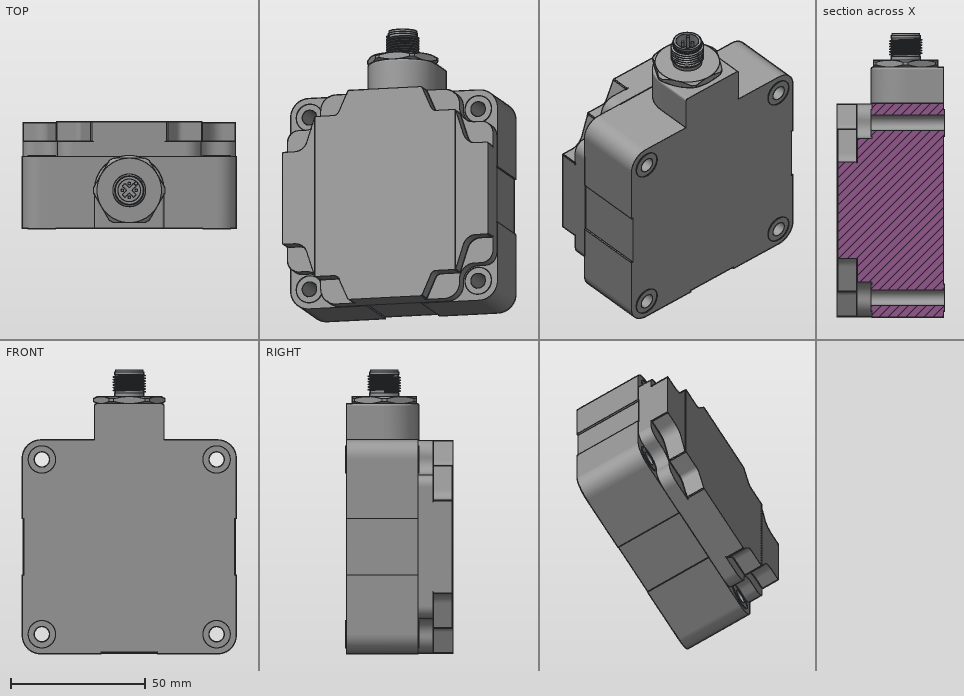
import cadquery as cq
import math

body_size = 79.7
body_depth = 26.7
body_corner_radius = 7.0
half_body = body_size / 2
total_depth = 40.0
side_recess_width = 21.0
side_recess_depth = 0.7

hole_offset = 32.5
hole_diameter = 5.6
bushing_diameter = 10.2
bushing_protrusion = 0.33

rear_half_size = 39.6

spacer_depth = 5.5
scallop_radius = 5.75
spacer_top_round = 5.8
spacer_side_round = 4.4

label_depth = 0.33
cover_depth = total_depth - body_depth - spacer_depth - bushing_protrusion - label_depth
cover_top_half_width = 14.2
cover_step_x = 27.1
cover_step_z = 30.3
cover_side_z = 17.4
upper_wall_angle = 66.0
lower_wall_angle = 72.0
upper_step_radius = 2.3
lower_step_radius = 5.1
cover_edge_chamfer = 0.3

neck_radius = 13.0
neck_axis_y = 14.1
neck_top_z = 53.3
neck_edge_radius = 1.0

nut_across_flats = 24.0
nut_corner_radius = 13.35
nut_height = 2.6
nut_chamfer_height = 0.8

connector_top_z = 65.85
collar_radius = 5.45
thread_core_radius = 5.25
thread_tip_radius = 6.1
thread_pitch = 1.0
lower_collar_top_z = 57.3
upper_collar_base_z = 64.2
thread_end_clearance = 0.4
thread_root_width = 0.8
thread_overlap = 0.15
tip_radius = 5.2
tip_height = 0.9
socket_radius = 4.2
socket_depth = 6.0
pin_count = 4
pin_circle_radius = 2.55
pin_diameter = 1.0
pin_tip_depth = 1.9
key_angle = 45.0
key_diameter = 1.2
key_center_radius = 3.55
key_tip_depth = 0.7
floor_cross_angles = (45, 135)
floor_cross_length = 5.9
floor_cross_width = 1.4
floor_cross_depth = 0.5

nut_base_z = neck_top_z
connector_base_z = nut_base_z + nut_height
socket_floor_z = connector_top_z - socket_depth
thread_start_z = lower_collar_top_z + thread_end_clearance
thread_height = upper_collar_base_z - thread_end_clearance - thread_start_z
spacer_back_y = body_depth + spacer_depth
cover_back_y = spacer_back_y + cover_depth


def plane_at_y(y):
    """Sketch plane at depth y: local X is +X, local Y is +Z; a negative extrusion goes toward +Y."""
    return cq.Workplane(cq.Plane(origin=(0, y, 0), xDir=(1, 0, 0), normal=(0, -1, 0)))


def plane_at_z(z):
    """Sketch plane at height z, centred on the connector axis."""
    return cq.Workplane("XY", origin=(0, neck_axis_y, z))


def four_way(quarter):
    """Join a quarter solid with its mirror images across the YZ and XY planes."""
    half = quarter.union(quarter.mirror("YZ"))
    return half.union(half.mirror("XY"))


def make_housing():
    housing = plane_at_y(0).rect(body_size, body_size).extrude(-body_depth)
    housing = housing.edges("|Y").fillet(body_corner_radius)
    recess_centers = [(-half_body, 0), (half_body, 0)]
    side_recesses = (
        plane_at_y(0)
        .pushPoints(recess_centers)
        .rect(2 * side_recess_depth, side_recess_width)
        .extrude(-body_depth)
    )
    bottom_recess = (
        plane_at_y(0)
        .center(0, -half_body)
        .rect(side_recess_width, 2 * side_recess_depth)
        .extrude(-body_depth)
    )
    return housing.cut(side_recesses).cut(bottom_recess)


def make_spacer():
    inner = hole_offset - scallop_radius
    diagonal = scallop_radius * math.sqrt(0.5)
    top_round_mid = spacer_top_round * (1 - math.sqrt(0.5))
    side_round_mid = spacer_side_round * (1 - math.sqrt(0.5))
    quarter = (
        plane_at_y(body_depth)
        .lineTo(0, rear_half_size)
        .lineTo(inner - spacer_top_round, rear_half_size)
        .threePointArc(
            (inner - top_round_mid, rear_half_size - top_round_mid),
            (inner, rear_half_size - spacer_top_round),
        )
        .lineTo(inner, hole_offset)
        .threePointArc((hole_offset - diagonal, hole_offset - diagonal), (hole_offset, inner))
        .lineTo(rear_half_size - spacer_side_round, inner)
        .threePointArc(
            (rear_half_size - side_round_mid, inner - side_round_mid),
            (rear_half_size, inner - spacer_side_round),
        )
        .lineTo(rear_half_size, 0)
        .close()
        .extrude(-spacer_depth)
    )
    return four_way(quarter)


def cover_outline(y):
    """Sharp stepped outline of the cover, with the X of its two inner step corners."""
    upper_slope = math.tan(math.radians(upper_wall_angle))
    lower_slope = math.tan(math.radians(lower_wall_angle))
    upper_foot_x = cover_top_half_width + (rear_half_size - cover_step_z) / upper_slope
    lower_foot_x = cover_step_x + (cover_step_z - cover_side_z) / lower_slope
    corner = [
        (cover_top_half_width, rear_half_size),
        (upper_foot_x, cover_step_z),
        (cover_step_x, cover_step_z),
        (lower_foot_x, cover_side_z),
        (rear_half_size, cover_side_z),
    ]
    bottom_right = [(x, -z) for x, z in reversed(corner)]
    bottom_left = [(-x, -z) for x, z in corner]
    top_left = [(-x, z) for x, z in reversed(corner)]
    points = corner + bottom_right + bottom_left + top_left
    outline = plane_at_y(y).polyline(points).close()
    return outline, upper_foot_x, lower_foot_x


def edges_at(x, z):
    """Selector for the four depth-wise edges at (+-x, +-z)."""
    reach = 0.1
    boxes = [
        cq.selectors.BoxSelector(
            (sx * x - reach, 0, sz * z - reach),
            (sx * x + reach, 2 * cover_back_y, sz * z + reach),
        )
        for sx in (-1, 1)
        for sz in (-1, 1)
    ]
    return boxes[0] + boxes[1] + boxes[2] + boxes[3]


def is_step_edge(edge):
    """True for the edges that stand back from the outermost sides of the cover."""
    middle = edge.Center()
    clearance = cover_edge_chamfer / 4
    inside_width = abs(middle.x) < rear_half_size - clearance
    inside_height = abs(middle.z) < rear_half_size - clearance
    return inside_width and inside_height


def make_cover():
    outline, upper_foot_x, lower_foot_x = cover_outline(spacer_back_y)
    cover = outline.extrude(-cover_depth - label_depth)
    convex_corners = [
        (cover_top_half_width, rear_half_size),
        (cover_step_x, cover_step_z),
        (rear_half_size, cover_side_z),
    ]
    for x, z in convex_corners:
        cover = cover.edges("|Y").edges(edges_at(x, z)).chamfer(cover_edge_chamfer)
    cover = cover.edges("|Y").edges(edges_at(upper_foot_x, cover_step_z)).fillet(upper_step_radius)
    cover = cover.edges("|Y").edges(edges_at(lower_foot_x, cover_side_z)).fillet(lower_step_radius)
    cover = cover.faces("<Y").edges().filter(is_step_edge).chamfer(cover_edge_chamfer)
    side_strips = (
        plane_at_y(cover_back_y)
        .pushPoints([(-2 * cover_step_x, 0), (2 * cover_step_x, 0)])
        .rect(2 * cover_step_x, body_size)
        .extrude(-label_depth)
    )
    return cover.cut(side_strips)


def make_neck():
    neck = (
        cq.Workplane("XY")
        .moveTo(-neck_radius, 0)
        .lineTo(neck_radius, 0)
        .lineTo(neck_radius, neck_axis_y)
        .threePointArc((0, neck_axis_y + neck_radius), (-neck_radius, neck_axis_y))
        .close()
        .extrude(neck_top_z)
    )
    neck = neck.faces(">Z").edges("not(<Y)").fillet(neck_edge_radius)
    above_body = cq.Workplane("XY").box(
        body_size, body_size, neck_top_z, centered=(True, True, False)
    )
    return neck.intersect(above_body.translate((0, 0, half_body - body_corner_radius)))


def make_nut():
    hexagon_diameter = nut_across_flats / math.cos(math.pi / 6)
    hexagon = plane_at_z(nut_base_z).polygon(6, hexagon_diameter).extrude(nut_height)
    rounding = (
        plane_at_z(nut_base_z)
        .circle(nut_corner_radius)
        .extrude(nut_height)
        .edges()
        .chamfer(nut_chamfer_height, nut_corner_radius - nut_across_flats / 2)
    )
    return hexagon.intersect(rounding)


def make_thread():
    """Helical ridge whose root is sunk slightly into the core."""
    root_radius = thread_core_radius - thread_overlap
    helix = cq.Wire.makeHelix(thread_pitch, thread_height, root_radius)
    ridge = (
        cq.Workplane("XZ")
        .moveTo(root_radius, -thread_root_width / 2)
        .lineTo(thread_tip_radius, 0)
        .lineTo(root_radius, thread_root_width / 2)
        .close()
        .sweep(cq.Workplane("XY").add(helix), isFrenet=True)
    )
    return ridge.translate((0, neck_axis_y, thread_start_z))


def cylinder(radius, bottom_z, top_z):
    """Cylinder on the connector axis between two heights."""
    return plane_at_z(bottom_z).circle(radius).extrude(top_z - bottom_z)


def make_connector():
    tip_base_z = connector_top_z - tip_height
    connector = cylinder(collar_radius, connector_base_z, lower_collar_top_z)
    connector = connector.union(cylinder(thread_core_radius, lower_collar_top_z, upper_collar_base_z))
    connector = connector.union(cylinder(collar_radius, upper_collar_base_z, tip_base_z))
    connector = connector.union(cylinder(tip_radius, tip_base_z, connector_top_z))
    connector = connector.union(make_thread())
    connector = connector.cut(cylinder(socket_radius, socket_floor_z, connector_top_z))

    for angle in floor_cross_angles:
        bar = (
            plane_at_z(socket_floor_z)
            .transformed(rotate=(0, 0, angle))
            .rect(floor_cross_length, floor_cross_width)
            .extrude(-floor_cross_depth)
        )
        connector = connector.cut(bar)

    pins = (
        plane_at_z(socket_floor_z)
        .polarArray(pin_circle_radius, 0, 360, pin_count)
        .circle(pin_diameter / 2)
        .extrude(socket_depth - pin_tip_depth)
    )
    key = (
        plane_at_z(socket_floor_z - floor_cross_depth)
        .polarArray(key_center_radius, key_angle, 360, 1)
        .circle(key_diameter / 2)
        .extrude(socket_depth + floor_cross_depth - key_tip_depth)
    )
    return connector.union(pins).union(key)


def add_bushings(part):
    centers = [(sx * hole_offset, sz * hole_offset) for sx in (-1, 1) for sz in (-1, 1)]
    bushing_length = body_depth + 2 * bushing_protrusion
    start = plane_at_y(-bushing_protrusion).pushPoints(centers)
    bushings = start.circle(bushing_diameter / 2).extrude(-bushing_length)
    holes = start.circle(hole_diameter / 2).extrude(-bushing_length)
    return part.union(bushings).cut(holes)


result = make_housing().union(make_spacer()).union(make_cover()).union(make_neck())
result = result.union(make_nut()).union(make_connector())
result = add_bushings(result)